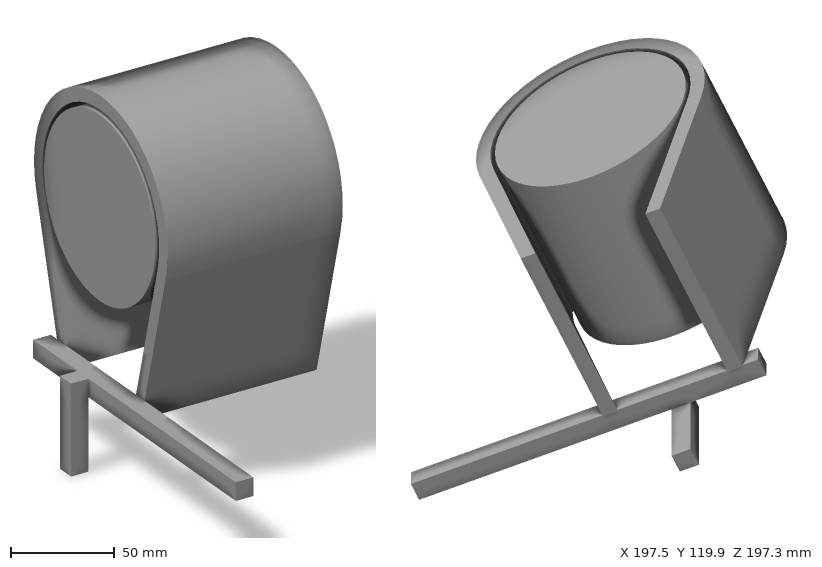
import cadquery as cq
import math

overall_length = 197.5

strap_radius = 60.0
strap_thickness = 7.5
strap_width = 99.9
strap_bottom = -98.5
leg_angle = math.asin(0.25)

wheel_diameter = 100.0
wheel_projection = 0.5
wheel_width = strap_width + wheel_projection
axle_diameter = 15.0

bar_size = 10.0
bar_top = -87.3
bar_left = -44.8
bar_right = overall_length - strap_radius
bar_center_z = bar_top - bar_size / 2
post_length = 50.0

pin_diameter = 5.0
pin_depth_in_leg = bar_size
pin_length = bar_size + pin_depth_in_leg


def leg_x(radius, z):
    """X at height z on the right-hand leg line tangent to a circle of this radius."""
    return (radius + z * math.sin(leg_angle)) / math.cos(leg_angle)


def box(x_min, x_max, y_min, y_max, z_min, z_max):
    size = (x_max - x_min, y_max - y_min, z_max - z_min)
    return cq.Workplane("XY").box(*size, centered=False).translate((x_min, y_min, z_min))


def cylinder(diameter, x, z, y_front, length):
    """Cylinder along Y, extending backward from y_front."""
    plane = cq.Workplane("XZ", origin=(x, y_front, z))
    return plane.circle(diameter / 2).extrude(-length)


def arch(radius):
    """Solid bounded by an arc, its two tangent legs and a level bottom."""
    tangent_x = radius * math.cos(leg_angle)
    tangent_z = -radius * math.sin(leg_angle)
    foot_x = leg_x(radius, strap_bottom)
    return (
        cq.Workplane("XZ")
        .moveTo(-foot_x, strap_bottom)
        .lineTo(-tangent_x, tangent_z)
        .threePointArc((0, radius), (tangent_x, tangent_z))
        .lineTo(foot_x, strap_bottom)
        .close()
        .extrude(-strap_width)
    )


pin_x = leg_x(strap_radius - strap_thickness / 2, bar_center_z)
pins = [
    cylinder(pin_diameter, side * pin_x, bar_center_z, -bar_size, pin_length)
    for side in (-1, 1)
]

strap = arch(strap_radius).cut(arch(strap_radius - strap_thickness))
bar = box(bar_left, bar_right, -bar_size, 0, bar_top - bar_size, bar_top)
for pin in pins:
    strap = strap.cut(pin)
    bar = bar.cut(pin)

axle = cylinder(axle_diameter, 0, 0, -wheel_projection, wheel_width)
wheel = cylinder(wheel_diameter, 0, 0, -wheel_projection, wheel_width).cut(axle)

post = box(-bar_size / 2, bar_size / 2, -2 * bar_size, -bar_size, bar_top - post_length, bar_top)

result = cq.Compound.makeCompound(
    [strap.val(), wheel.val(), axle.val(), bar.val(), post.val(), *[pin.val() for pin in pins]]
)